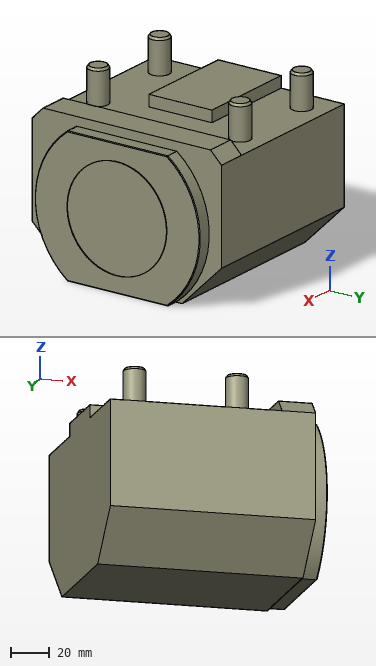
import cadquery as cq

block_length = 110.0
block_width = 120
block_height = 82.0
lower_chamfer = 25.0

raised_height = 7.0
tongue_length = 62.0
tongue_width = 40.0
bar_length = 18

pin_diameter = 12
pin_top = 103.0
pin_chamfer_height = 1.5
pin_chamfer_inset = 1.0
pin_first_x = 17.0
pin_spacing_x = 55.0
pin_spacing_y = 90

flange_diameter = 104.5
flange_across_flats = 83.0
flange_thickness = 8.5
flange_chamfer = 0.5
flange_center_z = 42
boss_diameter = 63.0
boss_height = 0.5


def make_block():
    """Prism along X with both lower edges cut at 45 degrees."""
    half_width = block_width / 2
    half_floor = half_width - lower_chamfer
    return (
        cq.Workplane("YZ")
        .moveTo(-half_floor, 0)
        .lineTo(half_floor, 0)
        .lineTo(half_width, lower_chamfer)
        .lineTo(half_width, block_height)
        .lineTo(-half_width, block_height)
        .lineTo(-half_width, lower_chamfer)
        .close()
        .extrude(block_length)
    )


def make_tongue():
    return (
        cq.Workplane("XY", origin=(0, 0, block_height))
        .rect(tongue_length, tongue_width, centered=(False, True))
        .extrude(raised_height)
    )


def make_cross_bar():
    """Full-width bar at the flange end, with 45 degree sloping ends."""
    half_base = block_width / 2
    half_crest = half_base - raised_height
    return (
        cq.Workplane("YZ", origin=(block_length - bar_length, 0, block_height))
        .moveTo(-half_base, 0)
        .lineTo(half_base, 0)
        .lineTo(half_crest, raised_height)
        .lineTo(-half_crest, raised_height)
        .close()
        .extrude(bar_length)
    )


def make_pins():
    pin_center_x = pin_first_x + pin_spacing_x / 2
    return (
        cq.Workplane("XY", origin=(pin_center_x, 0, block_height))
        .rarray(pin_spacing_x, pin_spacing_y, 2, 2)
        .circle(pin_diameter / 2)
        .extrude(pin_top - block_height)
        .faces(">Z")
        .chamfer(pin_chamfer_height, pin_chamfer_inset)
    )


def make_flange():
    plane_origin = (block_length, 0, flange_center_z)
    disc = cq.Workplane("YZ", origin=plane_origin).circle(flange_diameter / 2).extrude(flange_thickness)
    flats = (
        cq.Workplane("YZ", origin=plane_origin)
        .rect(flange_diameter, flange_across_flats)
        .extrude(flange_thickness)
    )
    return disc.intersect(flats).faces(">X").chamfer(flange_chamfer)


def make_boss():
    return (
        cq.Workplane("YZ", origin=(block_length + flange_thickness, 0, flange_center_z))
        .circle(boss_diameter / 2)
        .extrude(boss_height)
    )


result = (
    make_block()
    .union(make_tongue())
    .union(make_cross_bar())
    .union(make_pins())
    .union(make_flange())
    .union(make_boss())
)